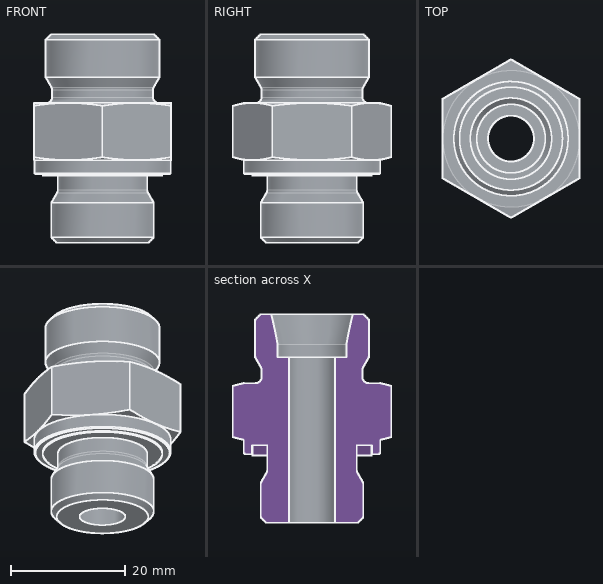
import cadquery as cq
import math

total_height = 36.5
hex_top = 24.5
hex_bottom = 14.5
collar_bottom = 12.0
upper_shoulder = 29.0
lower_shoulder = 7.0

upper_diameter = 20.0
upper_neck_diameter = 17.7
lower_diameter = 18.0
lower_neck_diameter = 15.7
collar_diameter = 23.9
hex_across_flats = 24.0

end_chamfer = 1.0
collar_chamfer = 0.22
hex_chamfer_angle = math.radians(15)
runout_angle = math.radians(30)
neck_fillet = 1.0

bore_diameter = 8.0
socket_diameter = 12.0
socket_mouth_diameter = 14.25
socket_taper = math.radians(12)
socket_depth = 7.5

groove_diameter = 21.0
groove_depth = 1.5
ring_diameter = 20.9
ring_projection = 0.22


def cylinder(diameter, bottom, top):
    return cq.Workplane("XY").workplane(offset=bottom).circle(diameter / 2).extrude(top - bottom)


def stud(end, shoulder, root, diameter, neck_diameter, root_fillet):
    """Threaded end: chamfered cylinder, run-out cone, filleted neck, root at the hexagon."""
    inward = math.copysign(1, root - end)
    radius = diameter / 2
    neck_radius = neck_diameter / 2
    cone_radius = neck_radius + neck_fillet * (1 - math.cos(runout_angle))
    cone_end = shoulder + inward * (radius - cone_radius) / math.tan(runout_angle)
    neck_start = cone_end + inward * neck_fillet * math.sin(runout_angle)
    half_angle = runout_angle / 2
    arc_middle = (
        neck_radius + neck_fillet * (1 - math.cos(half_angle)),
        neck_start - inward * neck_fillet * math.sin(half_angle),
    )
    profile = (
        cq.Workplane("XZ")
        .moveTo(0, end)
        .lineTo(radius - end_chamfer, end)
        .lineTo(radius, end + inward * end_chamfer)
        .lineTo(radius, shoulder)
        .lineTo(cone_radius, cone_end)
        .threePointArc(arc_middle, (neck_radius, neck_start))
        .lineTo(neck_radius, root - inward * root_fillet)
    )
    if root_fillet > 0:
        sagitta = root_fillet * (1 - math.sqrt(0.5))
        profile = profile.threePointArc(
            (neck_radius + sagitta, root - inward * sagitta),
            (neck_radius + root_fillet, root),
        )
    return profile.lineTo(0, root).close().revolve(360, (0, 0), (0, 1))


def hexagon():
    """Hexagon with two flats facing X, its corners cut by a shallow cone at both ends."""
    corner_radius = hex_across_flats / math.sqrt(3)
    face_radius = collar_diameter / 2
    corner_drop = (corner_radius - face_radius) * math.tan(hex_chamfer_angle)
    prism = (
        cq.Workplane("XY")
        .workplane(offset=hex_bottom)
        .transformed(rotate=(0, 0, 30))
        .polygon(6, 2 * corner_radius)
        .extrude(hex_top - hex_bottom)
    )
    envelope = (
        cq.Workplane("XZ")
        .moveTo(0, hex_bottom)
        .lineTo(face_radius, hex_bottom)
        .lineTo(corner_radius, hex_bottom + corner_drop)
        .lineTo(corner_radius, hex_top - corner_drop)
        .lineTo(face_radius, hex_top)
        .lineTo(0, hex_top)
        .close()
        .revolve(360, (0, 0), (0, 1))
    )
    return prism.intersect(envelope)


def collar():
    disc = cylinder(collar_diameter, collar_bottom, hex_bottom).faces("<Z").chamfer(collar_chamfer)
    groove = cylinder(groove_diameter, collar_bottom, collar_bottom + groove_depth)
    return disc.cut(groove)


def passage():
    """Through bore opening into a tube socket with a tapered mouth."""
    taper_depth = (socket_mouth_diameter - socket_diameter) / 2 / math.tan(socket_taper)
    return (
        cq.Workplane("XZ")
        .lineTo(bore_diameter / 2, 0)
        .lineTo(bore_diameter / 2, total_height - socket_depth)
        .lineTo(socket_diameter / 2, total_height - socket_depth)
        .lineTo(socket_diameter / 2, total_height - taper_depth)
        .lineTo(socket_mouth_diameter / 2, total_height)
        .lineTo(0, total_height)
        .close()
        .revolve(360, (0, 0), (0, 1))
    )


def make_fitting():
    upper_stud = stud(
        total_height, upper_shoulder, hex_top, upper_diameter, upper_neck_diameter, neck_fillet
    )
    lower_stud = stud(0, lower_shoulder, hex_bottom, lower_diameter, lower_neck_diameter, 0)
    return hexagon().union(collar()).union(upper_stud).union(lower_stud).cut(passage())


def make_sealing_ring():
    bottom = collar_bottom - ring_projection
    top = collar_bottom + groove_depth
    return cylinder(ring_diameter, bottom, top).cut(cylinder(lower_neck_diameter, bottom, top))


fitting = make_fitting()
sealing_ring = make_sealing_ring()
result = cq.Compound.makeCompound([fitting.solids().val(), sealing_ring.val()])